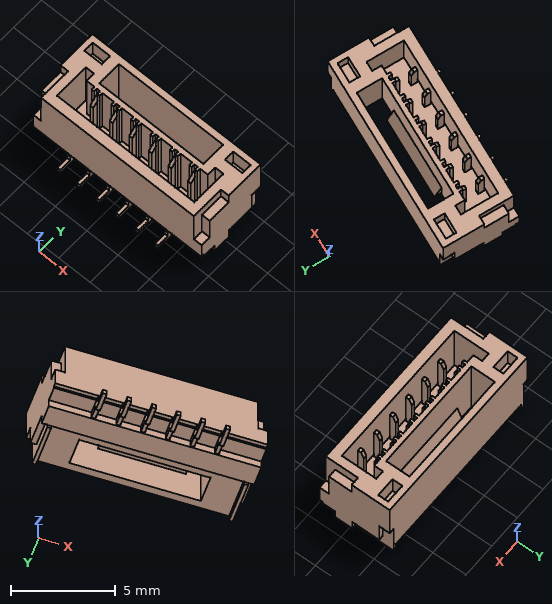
import cadquery as cq


LENGTH = 10.75
HEIGHT = 4.2
FRONT_Y = -4.25
LEAD_TIP_Y = -4.95
HALF_LENGTH = LENGTH / 2

FOOT_Z = 0.14
FOOT_REAR_Y = -2.27
FOOT_FRONT_Y = -3.31
REAR_UNDERSIDE_Z = 0.38
FRONT_UNDERSIDE_Z = 0.66
LIP_UNDERSIDE_Z = 0.78
LIP_REAR_Y = -4.05

END_CUT_DEPTH = 0.49
RELIEF_REAR_Y = -2.3
RELIEF_DROP = 0.65
RELIEF_ARM = 0.58
RELIEF_BOTTOM_Z = HEIGHT - 2.25
RECESS_TOP_Z = 2.04
RECESS_ARM = 0.65
RECESS_STEP_Z = 0.75

PLATE_THICKNESS = 0.19
PLATE_FRONT_Y = -2.24
POCKET_LENGTH = 1.11
POCKET_OFFSET = 0.33
POCKET_REAR_Y = -0.35
POCKET_FRONT_Y = -0.95
POCKET_DEPTH = 1.08

WINDOW_HALF_LENGTH = 3.32
WINDOW_REAR_Y = -0.4
WINDOW_FRONT_Y = -1.81
LATCH_LENGTH = 4.45
LATCH_REACH = 0.42
LATCH_HEIGHT = 1.0
LATCH_BOTTOM_Z = 0.75

CAVITY_HALF_LENGTH = 4.39
CAVITY_FRONT_Y = -3.65
CAVITY_FLOOR_Z = 1.0
DIVIDER_Y = -2.11
EAR_WIDTH = 0.52
EAR_REAR_Y = -1.58

CONTACTS = 6
PITCH = 1.25
CONTACT_WIDTH = 0.2
GUIDE_WIDTH = 0.52
GUIDE_REACH = 0.19
SPRING_TIP_Z = HEIGHT - 0.6
SPRING_SHOULDER_Z = HEIGHT - 1.0
SPRING_FLAT = 0.06
SPRING_FRONT_Y = -2.59
BLADE_REAR_Y = -3.24
BLADE_RIDGE_Y = -3.4
BLADE_FRONT_Y = -3.59
BLADE_TOP_Z = HEIGHT - 1.0
BLADE_BEVEL_DROP = 0.4
LEAD_BOTTOM_Z = 0.24
LEAD_FOOT_TOP_Z = 0.3
LEAD_FOOT_REAR_Y = -3.96


def block(x_range, y_range, z_range):
    """Box spanning the given (low, high) ranges."""
    sizes = [high - low for low, high in (x_range, y_range, z_range)]
    corner = (x_range[0], y_range[0], z_range[0])
    return cq.Workplane("XY").box(*sizes, centered=False).translate(corner)


def extrude_side(points, width, center_x=0.0):
    """Side outline of (y, z) points, extruded along X about center_x."""
    outline = cq.Workplane("YZ").polyline(points).close()
    return outline.extrude(width / 2, both=True).translate((center_x, 0, 0))


def on_both_ends(body):
    """The given body together with its mirror image at the other end."""
    return body.union(body.mirror("YZ"))


def housing_blank():
    points = [
        (0, HEIGHT),
        (0, REAR_UNDERSIDE_Z),
        (FOOT_REAR_Y, REAR_UNDERSIDE_Z),
        (FOOT_REAR_Y, FOOT_Z),
        (FOOT_FRONT_Y, FOOT_Z),
        (FOOT_FRONT_Y, FRONT_UNDERSIDE_Z),
        (LIP_REAR_Y, FRONT_UNDERSIDE_Z),
        (LIP_REAR_Y, LIP_UNDERSIDE_Z),
        (FRONT_Y, LIP_UNDERSIDE_Z),
        (FRONT_Y, HEIGHT),
    ]
    return extrude_side(points, LENGTH)


def end_reliefs():
    points = [
        (RELIEF_REAR_Y, HEIGHT),
        (RELIEF_REAR_Y, HEIGHT - RELIEF_DROP),
        (FRONT_Y + RELIEF_ARM, HEIGHT - RELIEF_DROP),
        (FRONT_Y + RELIEF_ARM, RELIEF_BOTTOM_Z),
        (FRONT_Y, RELIEF_BOTTOM_Z),
        (FRONT_Y, HEIGHT),
    ]
    return on_both_ends(extrude_side(points, END_CUT_DEPTH, -HALF_LENGTH + END_CUT_DEPTH / 2))


def plate_shape(thickness):
    """L-shaped slab against the inner wall of the lower rear recess, at both ends."""
    points = [
        (0, 0),
        (0, RECESS_TOP_Z),
        (-RECESS_ARM, RECESS_TOP_Z),
        (-RECESS_ARM, RECESS_STEP_Z),
        (FOOT_REAR_Y, RECESS_STEP_Z),
        (FOOT_REAR_Y, REAR_UNDERSIDE_Z),
        (PLATE_FRONT_Y, REAR_UNDERSIDE_Z),
        (PLATE_FRONT_Y, 0),
    ]
    center_x = -HALF_LENGTH + END_CUT_DEPTH - thickness / 2
    return on_both_ends(extrude_side(points, thickness, center_x))


def plate_pockets():
    left = -HALF_LENGTH + POCKET_OFFSET
    pocket = block(
        (left, left + POCKET_LENGTH),
        (POCKET_FRONT_Y, POCKET_REAR_Y),
        (HEIGHT - POCKET_DEPTH, HEIGHT),
    )
    return on_both_ends(pocket)


def window():
    return block(
        (-WINDOW_HALF_LENGTH, WINDOW_HALF_LENGTH),
        (WINDOW_FRONT_Y, WINDOW_REAR_Y),
        (0, HEIGHT),
    )


def latch():
    points = [
        (WINDOW_FRONT_Y, LATCH_BOTTOM_Z),
        (WINDOW_FRONT_Y + LATCH_REACH, LATCH_BOTTOM_Z),
        (WINDOW_FRONT_Y, LATCH_BOTTOM_Z + LATCH_HEIGHT),
    ]
    return extrude_side(points, LATCH_LENGTH)


def cavity():
    z_range = (CAVITY_FLOOR_Z, HEIGHT)
    room = block((-CAVITY_HALF_LENGTH, CAVITY_HALF_LENGTH), (CAVITY_FRONT_Y, DIVIDER_Y), z_range)
    ear = block((-CAVITY_HALF_LENGTH, EAR_WIDTH - CAVITY_HALF_LENGTH), (DIVIDER_Y, EAR_REAR_Y), z_range)
    return room.union(on_both_ends(ear))


def contact_guide(x):
    """Two ribs on the divider with the contact slot between them."""
    y_range = (DIVIDER_Y - GUIDE_REACH, DIVIDER_Y)
    z_range = (CAVITY_FLOOR_Z, HEIGHT)
    rib = block((x - GUIDE_WIDTH / 2, x + GUIDE_WIDTH / 2), y_range, z_range)
    slot = block((x - CONTACT_WIDTH / 2, x + CONTACT_WIDTH / 2), y_range, z_range)
    return rib.cut(slot)


def contact(x):
    spring = [
        (DIVIDER_Y, CAVITY_FLOOR_Z),
        (DIVIDER_Y, SPRING_TIP_Z),
        (DIVIDER_Y - SPRING_FLAT, SPRING_TIP_Z),
        (SPRING_FRONT_Y, SPRING_SHOULDER_Z),
        (SPRING_FRONT_Y, CAVITY_FLOOR_Z),
    ]
    blade = [
        (BLADE_REAR_Y, CAVITY_FLOOR_Z),
        (BLADE_REAR_Y, BLADE_TOP_Z - BLADE_BEVEL_DROP),
        (BLADE_RIDGE_Y, BLADE_TOP_Z),
        (BLADE_FRONT_Y, BLADE_TOP_Z),
        (BLADE_FRONT_Y, CAVITY_FLOOR_Z),
    ]
    lead = [
        (FOOT_FRONT_Y, FRONT_UNDERSIDE_Z),
        (FOOT_FRONT_Y, LEAD_BOTTOM_Z),
        (LEAD_FOOT_REAR_Y, LEAD_BOTTOM_Z),
        (LEAD_FOOT_REAR_Y, 0),
        (LEAD_TIP_Y, 0),
        (LEAD_TIP_Y, LEAD_FOOT_TOP_Z),
        (FRONT_Y, LEAD_FOOT_TOP_Z),
        (FRONT_Y, FRONT_UNDERSIDE_Z),
    ]
    body = extrude_side(spring, CONTACT_WIDTH, x)
    for points in (blade, lead):
        body = body.union(extrude_side(points, CONTACT_WIDTH, x))
    return body


result = housing_blank().cut(end_reliefs()).cut(plate_shape(END_CUT_DEPTH))
result = result.cut(plate_pockets()).cut(window()).cut(cavity())
result = result.union(latch()).union(plate_shape(PLATE_THICKNESS))

for index in range(CONTACTS):
    contact_x = (index - (CONTACTS - 1) / 2) * PITCH
    result = result.union(contact_guide(contact_x)).union(contact(contact_x))